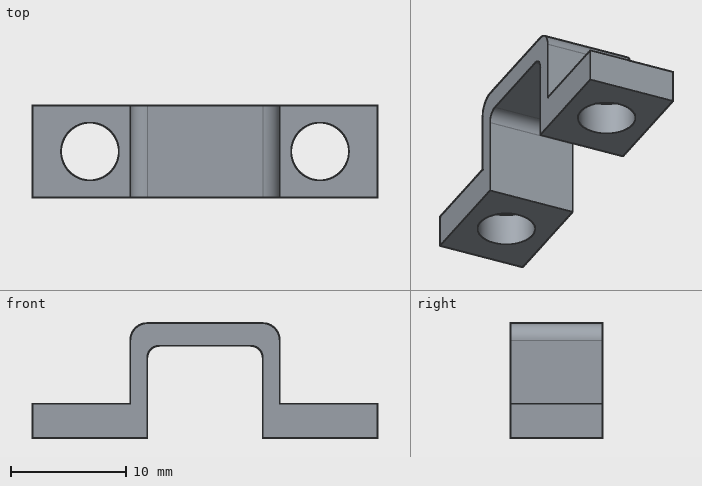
import cadquery as cq

length = 30.0
depth = 8.0
height = 10.0

channel_width = 10.0
wall_thickness = 1.5
roof_thickness = 2.0
outer_radius = 1.5
inner_radius = 1.0

foot_thickness = 3.0
hole_diameter = 5.0
hole_spacing = 20.0

bridge_width = channel_width + 2 * wall_thickness
channel_height = height - roof_thickness


def rounded_bar(width, bar_height, corner_radius):
    """Bar standing on Z = 0, with its two upper long edges rounded."""
    bar = cq.Workplane("XY").box(width, depth, bar_height, centered=(True, True, False))
    return bar.edges("|Y and >Z").fillet(corner_radius)


def mounting_holes():
    """Upright cylinders, one through each foot."""
    return (
        cq.Workplane("XY")
        .pushPoints([(side * hole_spacing / 2, 0) for side in (-1, 1)])
        .circle(hole_diameter / 2)
        .extrude(foot_thickness)
    )


base = cq.Workplane("XY").box(length, depth, foot_thickness, centered=(True, True, False))
bridge = rounded_bar(bridge_width, height, outer_radius)
channel = rounded_bar(channel_width, channel_height, inner_radius)

result = base.union(bridge).cut(channel).cut(mounting_holes())